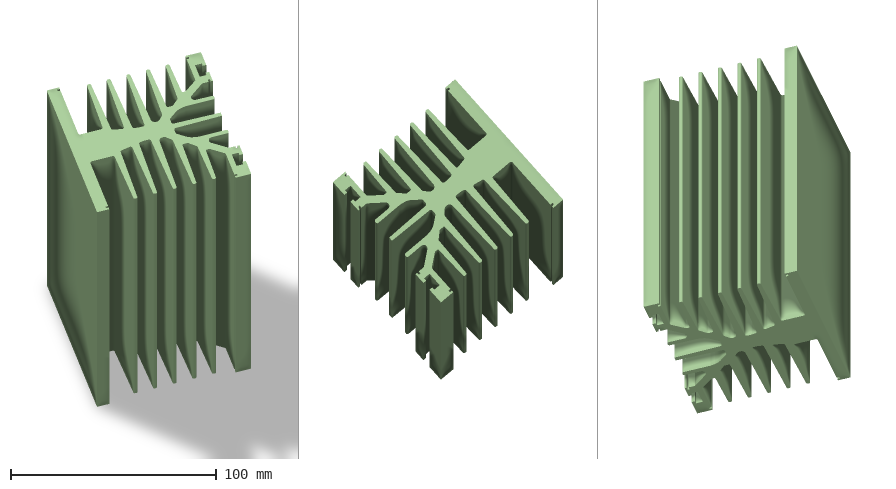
import cadquery as cq

width = 80.0
depth = 78.6
length = 150.0
half_width = width / 2
front_y = -depth / 2
back_y = depth / 2

plate_thickness = 6.3
plate_top = front_y + plate_thickness
trunk_half_width = 8.8

fin_count = 5
last_fin = fin_count - 1
first_fin_y = front_y + 20.5
fin_row_span = 40.0
fin_pitch = fin_row_span / last_fin
fin_tip_x = 37.5
fin_tip_half_thickness = 0.99
fin_taper = 0.03
fin_tip_radius = 0.8

trunk_above_fin_0 = 6.9
trunk_below_fin_1 = 5.7
trunk_above_fin_1 = 4.8
waist_half_width = 4.4
waist_y = front_y + 35.2
neck_half_width = 5.1
neck_top_y = front_y + 45.8
branch_below_fin_3 = 8.1
branch_above_fin_3 = 12.2
branch_lower_bend_y = front_y + 55.2
branch_below_fin_4 = 15.6
branch_above_fin_4 = 18.9
branch_upper_bend_y = front_y + 64.0
branch_at_rail = 24.0

plate_gap_radius = 0.9
trunk_gap_radius = 0.9
neck_gap_radius = 2.1
branch_gap_radius = 0.6

rail_inner_x = 21.2
rail_thickness = 8.0
rail_bottom = back_y - rail_thickness
slot_center_x = 29.2
slot_mouth_width = 4.5
slot_width = 7.5
slot_lip = 1.8
slot_depth = 5.2

groove_lip = 1.0
groove_width = 1.0
groove_depth = 1.4

upright_top = back_y - 2.4
center_fin_tip_half = 1.0
center_fin_root_half = 1.5
side_upright_inner_x = 10.0
side_upright_outer_x = 12.3
side_upright_tip_radius = 0.9

crotch_floor = front_y + 51.5
crotch_floor_x = 4.8
crotch_bend_x = 9.3
crotch_bend_y = front_y + 57.2
crotch_straight_y = front_y + 61.5
crotch_floor_radius = 1.0
crotch_bend_radius = 7.5

valley_apex_y = front_y + 62.0
valley_radius = 1.8
branch_top_y = front_y + 73.2


def prism(points):
    """Extrude a closed outline along the full length of the part."""
    return cq.Workplane("XY").polyline(points).close().extrude(length)


def bar(x_min, x_max, y_min, y_max):
    """Full-length rectangular bar."""
    return prism([(x_min, y_min), (x_max, y_min), (x_max, y_max), (x_min, y_max)])


def round_corners(solid, corners, radius):
    """Fillet the full-length edges at the given corners of a profile."""
    for x, y in corners:
        nearest = cq.selectors.NearestToPointSelector((x, y, length / 2))
        solid = solid.edges("|Z").edges(nearest).fillet(radius)
    return solid


def fin_edge(index, x, side):
    """Point on the upper (side=1) or lower (side=-1) face of a side fin."""
    half_thickness = fin_tip_half_thickness + fin_taper * (fin_tip_x - x)
    return (x, first_fin_y + index * fin_pitch + side * half_thickness)


def side_gap(outer_low, root, outer_high, radius):
    """Open space on the +X side with every corner of its root rounded."""
    gap = prism([outer_low] + root + [outer_high])
    return round_corners(gap, root, radius)


def fin_gap(lower_fin, low_x, wall_points, high_x, radius):
    """Gap between a fin and the next one; the wall points shape the trunk side."""
    upper_fin = lower_fin + 1
    root = [fin_edge(lower_fin, low_x, 1)] + wall_points + [fin_edge(upper_fin, high_x, -1)]
    outer_low = fin_edge(lower_fin, half_width, 1)
    outer_high = fin_edge(upper_fin, half_width, -1)
    return side_gap(outer_low, root, outer_high, radius)


def side_gaps():
    """All the spaces on the +X side, from the plate to the clamp rail."""
    waist = (waist_half_width, waist_y)
    neck = (neck_half_width, neck_top_y)
    lower_bend = (branch_above_fin_3, branch_lower_bend_y)
    upper_bend = (branch_above_fin_4, branch_upper_bend_y)
    plate_gap = side_gap(
        (half_width, plate_top),
        [(trunk_half_width, plate_top), fin_edge(0, trunk_half_width, -1)],
        fin_edge(0, half_width, -1),
        plate_gap_radius,
    )
    rail_gap = side_gap(
        fin_edge(last_fin, half_width, 1),
        [fin_edge(last_fin, branch_above_fin_4, 1), upper_bend, (branch_at_rail, rail_bottom)],
        (half_width, rail_bottom),
        branch_gap_radius,
    )
    return [
        plate_gap,
        fin_gap(0, trunk_above_fin_0, [], trunk_below_fin_1, trunk_gap_radius),
        fin_gap(1, trunk_above_fin_1, [waist], waist_half_width, trunk_gap_radius),
        fin_gap(2, neck_half_width, [neck], branch_below_fin_3, neck_gap_radius),
        fin_gap(3, branch_above_fin_3, [lower_bend], branch_below_fin_4, branch_gap_radius),
        rail_gap,
    ]


def t_slot():
    """T-slot open at the back face of the clamp rail."""
    half_mouth = slot_mouth_width / 2
    half_slot = slot_width / 2
    lip_y = back_y - slot_lip
    mouth = bar(slot_center_x - half_mouth, slot_center_x + half_mouth, lip_y, back_y)
    cavity = bar(slot_center_x - half_slot, slot_center_x + half_slot, back_y - slot_depth, lip_y)
    return mouth.union(cavity)


def corner_grooves():
    """Grooves that leave a thin lip at the plate corner and at two rail corners."""
    outer_x = half_width - groove_lip
    inner_x = outer_x - groove_width
    rail_groove_top = back_y - groove_lip
    return [
        bar(inner_x, outer_x, plate_top - groove_depth, plate_top),
        bar(inner_x, outer_x, rail_bottom, rail_bottom + groove_depth),
        bar(
            rail_inner_x,
            rail_inner_x + groove_depth,
            rail_groove_top - groove_width,
            rail_groove_top,
        ),
    ]


def crotch():
    """Space between the center fin and the upright fin on the branch."""
    floor_corners = [(center_fin_root_half, crotch_floor), (crotch_floor_x, crotch_floor)]
    bend = (crotch_bend_x, crotch_bend_y)
    space = prism(
        [(center_fin_tip_half, upright_top)]
        + floor_corners
        + [
            bend,
            (side_upright_inner_x, crotch_straight_y),
            (side_upright_inner_x, upright_top),
        ]
    )
    space = round_corners(space, floor_corners, crotch_floor_radius)
    return round_corners(space, [bend], crotch_bend_radius)


def valley():
    """V-shaped space with a round floor between the upright fin and the clamp rail."""
    apex = (side_upright_outer_x, valley_apex_y)
    space = prism(
        [
            (side_upright_outer_x, upright_top),
            apex,
            (rail_inner_x, branch_top_y),
            (rail_inner_x, upright_top),
        ]
    )
    return round_corners(space, [apex], valley_radius)


half = bar(0, half_width, front_y, back_y)
half = half.cut(bar(fin_tip_x, half_width, plate_top, rail_bottom))
half = half.cut(bar(0, rail_inner_x, upright_top, back_y))
for space in side_gaps() + [crotch(), valley(), t_slot()] + corner_grooves():
    half = half.cut(space)

fin_tips = [fin_edge(index, fin_tip_x, side) for index in range(fin_count) for side in (-1, 1)]
upright_tips = [(side_upright_inner_x, upright_top), (side_upright_outer_x, upright_top)]
half = round_corners(half, fin_tips, fin_tip_radius)
half = round_corners(half, upright_tips, side_upright_tip_radius)

result = half.union(half.mirror("YZ")).clean()